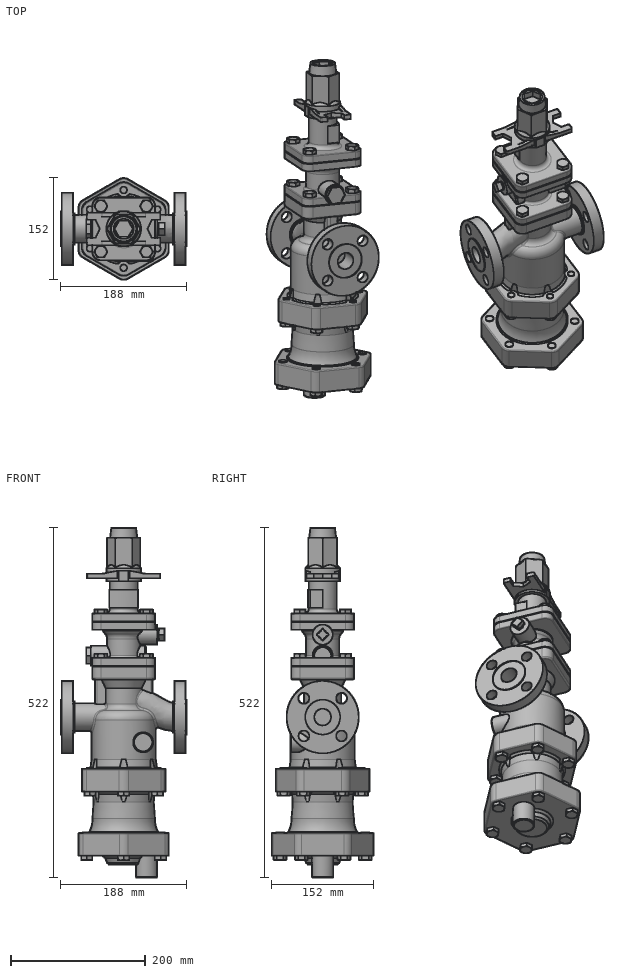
import cadquery as cq
import math


face_to_face = 188.0
pipe_flange_dia = 108.0
pipe_flange_thickness = 17.0
raised_face_dia = 52.0
raised_face_height = 1.5
bore_dia = 25.0
bore_depth = 35.0
pipe_bend_x = 52.0
pipe_bend_z = 7.5
pipe_end_x = 8.0
pipe_end_z = 25.0
pipe_end_slope = 0.1
pipe_root_fillet = 3.0
pipe_dia = 42.0
hub_dia = 47.0
hub_length = 2.5
bolt_circle_dia = 79.4
bolt_hole_dia = 16.0
bolt_hole_count = 4

body_radius = 48.0
body_foot_radius = 53.0
body_foot_height = 2.0
body_flare_radius = 49.7
neck_radius = 28.0
neck_bottom_z = 20.0
neck_top_z = 43.0
neck_flare_radius = 34.0
shoulder_z = -4.0
shoulder_radius = 14.5
flare_start_z = -62.5

upper_hex_flats = 125.0
upper_hex_corner = 14.0
upper_hex_top_z = -76.6
upper_hex_bottom_z = -111.2
upper_hex_bolt_radius = 58.0
upper_stud_dia = 10.0
lower_hex_flats = 135.0
lower_hex_corner = 12.5
lower_hex_top_z = -172.6
lower_hex_bottom_z = -207.0
lower_hex_bolt_radius = 63.5
lower_stud_dia = 12.0
hex_edge_fillet = 1.5
hex_bolt_count = 6
stud_height = 1.0
body_spotface_radius = 10.4
trap_spotface_radius = 13.1

trap_top_radius = 49.5
trap_collar_radius = 46.2
trap_collar_height = 3.5
trap_radius = 45.0
trap_waist_z = -126.0
trap_flare_z = -151.0
trap_flare_radius = 46.8
trap_foot_radius = 53.5
trap_foot_height = 1.5
trap_flare_end_radius = 51.3
trap_foot_blend = 40.0

bottom_z = -239.8
cover_top_radius = 31.5
cover_step_radius = 27.5
cover_step_height = 3.5
cover_edge = 3.0
cover_bottom_radius = 22.0
cover_bottom_z = -220.0
drain_dia = 32.0
drain_x = 34.0
drain_chamfer = 1.5

square_side = 94.0
square_corner = 13.0
square_bolt_offset = 34.0
square_edge_fillet = 2.5
square_cover_fillet = 1.0
gasket_thickness = 1.2
gasket_recess = 0.4
pilot_top_z = 88.5
pilot_gasket_z = 76.0
pilot_bottom_z = 56.0
spring_top_z = 154.6
spring_gasket_z = 142.0
spring_bottom_z = 130.0
bolt_flats = 17.0
bolt_face_dia = 17.48
bolt_head_height = 6.2

pilot_radius = 25.0
pilot_flare_radius = 62.07 / 2
pilot_flare_z = 117.0
pilot_flare_rim = 1.5
pilot_blend_radius = 10.0
pilot_blend_width = 3.0
pilot_blend_height = 7.5
pilot_foot_fillet = 4.0
boss_dia = 30.0
left_boss_z = 91.7
left_boss_end_x = 49.0
left_plug_flats = 24.5
left_plug_length = 7.0
stub_x = 31.5
stub_length = 2.0
stub_tip_dia = 25.0
right_boss_z = 123.0
right_boss_end_x = 50.0
right_plug_shank_dia = 12.0
right_plug_shank_length = 2.3
right_plug_side = 13.0
right_plug_length = 8.6

rib_reach = 43.0
rib_width = 16.0
rib_corner = 3.0
left_rib_bottom_z = 5.0
right_rib_bottom_z = 20.0

front_boss_x = 29.0
front_boss_z = -37.5
front_boss_end_y = 48.5
front_boss_chamfer = 1.5

stem_dia = 42.0
stem_foot_fillet = 7.0
plate_half_width = 21.7
plate_edge_y = 18.3
plate_front_y = 22.0
plate_bottom_z = 163.0
plate_top_z = 190.0
collar_dia = 52.0
collar_bottom_z = 202.5
collar_top_z = 222.0
cap_flats = 43.3
cap_cone_z = 227.0
cap_hex_top_z = 267.5
cap_hex_chamfer = 1.0
cap_neck_radius = 20.4
cap_top_radius = 18.6
overall_height = 522.0
top_z = bottom_z + overall_height
socket_flats = 24.0
socket_depth = 12.0
socket_mouth_dia = 30.0
socket_mouth_depth = 1.5

handle_half_length = 54.9
handle_half_width = 24.3
handle_corner = 1.5
handle_bottom_z = 207.0
handle_top_z = 214.0
slot_half_width = 13.5
slot_shoulder_x = 42.0
slot_apex_x = 35.5
handle_rib_half_length = 32.5
handle_rib_width = 6.0
handle_rib_top_z = 218.5
handle_lug_half_width = 7.0


def cylinder_z(radius, bottom, top, x=0.0, y=0.0):
    """Vertical cylinder between two heights."""
    return cq.Workplane("XY", origin=(x, y, bottom)).circle(radius).extrude(top - bottom)


def cylinder_x(diameter, start, end, z):
    """Cylinder along X between two X positions."""
    return cq.Workplane("YZ", origin=(start, 0, z)).circle(diameter / 2).extrude(end - start)


def hexagon(flats):
    """Points of a hexagon with two corners on the first axis."""
    corner = flats / math.sqrt(3)
    return [
        (corner * math.cos(math.radians(60 * i)), corner * math.sin(math.radians(60 * i)))
        for i in range(6)
    ]


def bolt_head(x, y, seat_z, direction, turn=0):
    """Hexagon head with bevelled corners; direction is +1 upwards, -1 downwards."""
    corner_radius = bolt_flats / math.sqrt(3)
    height = direction * bolt_head_height
    seat = cq.Workplane("XY", origin=(x, y, seat_z))
    head = seat.transformed(rotate=(0, 0, turn)).polyline(hexagon(bolt_flats)).close().extrude(height)
    outer = ">Z" if direction > 0 else "<Z"
    bevel = cq.Workplane("XY", origin=(x, y, seat_z)).circle(corner_radius).extrude(height)
    bevel = bevel.faces(outer).chamfer(corner_radius - bolt_face_dia / 2)
    return head.intersect(bevel)


def main_body():
    """Round body with a domed shoulder, a narrow neck and flared ends."""
    rise = neck_bottom_z - shoulder_z
    dome_x = body_radius - shoulder_radius
    ledge = dome_x - neck_radius
    blend_radius = (ledge**2 + rise**2 - shoulder_radius**2) / (2 * (shoulder_radius + ledge))
    centre_distance = shoulder_radius + blend_radius
    blend_start_x = dome_x + shoulder_radius * (blend_radius - ledge) / centre_distance
    blend_start_z = shoulder_z + shoulder_radius * rise / centre_distance
    dome = shoulder_radius * math.sqrt(0.5)
    profile = (
        cq.Workplane("XZ")
        .moveTo(0, upper_hex_top_z)
        .lineTo(body_foot_radius, upper_hex_top_z)
        .lineTo(body_flare_radius, upper_hex_top_z + body_foot_height)
        .lineTo(body_radius, flare_start_z)
        .lineTo(body_radius, shoulder_z)
        .threePointArc((dome_x + dome, shoulder_z + dome), (blend_start_x, blend_start_z))
        .radiusArc((neck_radius, neck_bottom_z), blend_radius)
        .lineTo(neck_radius, neck_top_z)
        .lineTo(neck_flare_radius, pilot_bottom_z)
        .lineTo(0, pilot_bottom_z)
        .close()
    )
    return profile.revolve(360, (0, 0, 0), (0, 1, 0))


def trap_section():
    """Waisted round section between the two six-sided joints."""
    flare_end = (trap_flare_end_radius, lower_hex_top_z + trap_foot_height)
    profile = (
        cq.Workplane("XZ")
        .moveTo(0, upper_hex_bottom_z)
        .lineTo(trap_top_radius, upper_hex_bottom_z)
        .lineTo(trap_collar_radius, upper_hex_bottom_z - trap_collar_height)
        .lineTo(trap_radius, trap_waist_z)
        .lineTo(trap_flare_radius, trap_flare_z)
        .radiusArc(flare_end, -trap_foot_blend)
        .lineTo(trap_foot_radius, lower_hex_top_z)
        .lineTo(0, lower_hex_top_z)
        .close()
    )
    return profile.revolve(360, (0, 0, 0), (0, 1, 0))


def bolt_positions(radius):
    """Six places on a circle, two of them on the Y axis."""
    step = 2 * math.pi / hex_bolt_count
    angles = [math.pi / 2 + i * step for i in range(hex_bolt_count)]
    return [(radius * math.cos(a), radius * math.sin(a)) for a in angles]


def hex_joint(flats, corner, bottom, top, bolt_radius, stud_dia):
    """Six-sided bolted joint with corners on the Y axis, heads below and stud ends above."""
    joint = (
        cq.Workplane("XY", origin=(0, 0, bottom))
        .transformed(rotate=(0, 0, 90))
        .polyline(hexagon(flats))
        .close()
        .extrude(top - bottom)
        .edges("|Z")
        .fillet(corner)
        .faces("<Z or >Z")
        .edges()
        .fillet(hex_edge_fillet)
    )
    for x, y in bolt_positions(bolt_radius):
        joint = joint.union(bolt_head(x, y, bottom, -1, 90))
        joint = joint.union(cylinder_z(stud_dia / 2, top, top + stud_height, x, y))
    return joint


def spotfaces(radius, bottom, top):
    """Clearance for the stud ends and bolt heads of the upper six-sided joint."""
    cuts = cq.Workplane("XY")
    for x, y in bolt_positions(upper_hex_bolt_radius):
        cuts = cuts.add(cylinder_z(radius, bottom, top, x, y))
    return cuts.combine()


def bottom_cover():
    """Tapered bulge under the lower joint with an off-centre drain pipe."""
    bulge = (
        cq.Workplane("XZ")
        .moveTo(0, lower_hex_bottom_z)
        .lineTo(cover_top_radius, lower_hex_bottom_z)
        .lineTo(cover_step_radius, lower_hex_bottom_z - cover_step_height)
        .lineTo(cover_bottom_radius + cover_edge, cover_bottom_z + cover_edge)
        .lineTo(cover_bottom_radius, cover_bottom_z)
        .lineTo(0, cover_bottom_z)
        .close()
        .revolve(360, (0, 0, 0), (0, 1, 0))
    )
    drain = cylinder_z(drain_dia / 2, bottom_z, lower_hex_bottom_z, drain_x)
    return bulge.union(drain.faces("<Z").chamfer(drain_chamfer))


def square_plate(bottom, top, recess=0.0):
    """Square plate with rounded corners."""
    side = square_side - 2 * recess
    plate = cq.Workplane("XY", origin=(0, 0, bottom)).rect(side, side).extrude(top - bottom)
    return plate.edges("|Z").fillet(square_corner - recess)


def square_joint(bottom, gasket, top, bottom_fillet, top_fillet):
    """Two square plates on a slightly recessed gasket, with four bolt heads on top."""
    half_gasket = gasket_thickness / 2
    lower = square_plate(bottom, gasket - half_gasket).faces("<Z").edges().fillet(bottom_fillet)
    upper = square_plate(gasket + half_gasket, top).faces(">Z").edges().fillet(top_fillet)
    joint = lower.union(square_plate(gasket - half_gasket, gasket + half_gasket, gasket_recess))
    joint = joint.union(upper)
    for x in (-square_bolt_offset, square_bolt_offset):
        for y in (-square_bolt_offset, square_bolt_offset):
            joint = joint.union(bolt_head(x, y, top, 1))
    return joint


def pilot_section():
    """Round section between the square joints, flared at the top."""
    blend_end = (pilot_radius + pilot_blend_width, pilot_flare_z + pilot_blend_height)
    flare_top = spring_bottom_z - pilot_flare_rim
    foot_z = pilot_top_z + pilot_foot_fillet
    profile = (
        cq.Workplane("XZ")
        .moveTo(0, pilot_top_z)
        .lineTo(pilot_radius + pilot_foot_fillet, pilot_top_z)
        .radiusArc((pilot_radius, foot_z), pilot_foot_fillet)
        .lineTo(pilot_radius, pilot_flare_z)
        .radiusArc(blend_end, pilot_blend_radius)
        .lineTo(pilot_flare_radius, flare_top)
        .lineTo(pilot_flare_radius, spring_bottom_z)
        .lineTo(0, spring_bottom_z)
        .close()
    )
    return profile.revolve(360, (0, 0, 0), (0, 1, 0))


def pilot_bosses():
    """Plugged bosses on both sides of the pilot section."""
    bosses = cylinder_x(boss_dia, -left_boss_end_x, stub_x, left_boss_z)
    stub = (
        cq.Workplane("YZ", origin=(stub_x, 0, left_boss_z))
        .circle(boss_dia / 2)
        .workplane(offset=stub_length)
        .circle(stub_tip_dia / 2)
        .loft()
    )
    left_plug = (
        cq.Workplane("YZ", origin=(-left_boss_end_x, 0, left_boss_z))
        .polyline(hexagon(left_plug_flats))
        .close()
        .extrude(-left_plug_length)
    )
    right_boss = cylinder_x(boss_dia, 0, right_boss_end_x, right_boss_z)
    shank_end = right_boss_end_x + right_plug_shank_length
    shank = cylinder_x(right_plug_shank_dia, right_boss_end_x, shank_end, right_boss_z)
    right_plug = (
        cq.Workplane("YZ", origin=(shank_end, 0, right_boss_z))
        .transformed(rotate=(0, 0, 45))
        .rect(right_plug_side, right_plug_side)
        .extrude(right_plug_length)
    )
    return bosses.union(stub).union(left_plug).union(right_boss).union(shank).union(right_plug)


def pipe_flange(side):
    """Bolted pipe flange; side is -1 for the -X end, +1 for the +X end."""
    face = side * face_to_face / 2
    back = face - side * (raised_face_height + pipe_flange_thickness)
    flange = cylinder_x(pipe_flange_dia, back, face - side * raised_face_height, 0)
    holes = (
        cq.Workplane("YZ", origin=(back, 0, 0))
        .polarArray(bolt_circle_dia / 2, 45, 360, bolt_hole_count)
        .circle(bolt_hole_dia / 2)
        .extrude(side * pipe_flange_thickness)
    )
    hub = cylinder_x(hub_dia, back - side * hub_length, back, 0)
    raised = cylinder_x(raised_face_dia, back, face, 0)
    return flange.cut(holes).union(hub).union(raised)


def left_pipe():
    """Straight pipe from the body to the -X flange."""
    return cylinder_x(pipe_dia, -face_to_face / 2 + pipe_flange_thickness, 0, 0)


def right_pipe():
    """Curved pipe rising from the +X flange to the neck."""
    start_x = face_to_face / 2 - pipe_flange_thickness
    path = cq.Workplane("XZ").spline(
        [(start_x, 0), (pipe_bend_x, pipe_bend_z), (pipe_end_x, pipe_end_z)],
        tangents=[(-1, 0), (-1, pipe_end_slope)],
    )
    return cq.Workplane("YZ", origin=(start_x, 0, 0)).circle(pipe_dia / 2).sweep(path)


def bores():
    """Blind bores in the two pipe flanges."""
    end = face_to_face / 2
    left = cylinder_x(bore_dia, -end, bore_depth - end, 0)
    return left.union(cylinder_x(bore_dia, end - bore_depth, end, 0))


def body_with_pipes():
    """Main body with the two pipes, filleted where the pipes leave the body."""
    joined = main_body().union(left_pipe()).union(right_pipe())
    reach = body_radius - 1
    roots = joined.edges("%BSPLINE").filter(lambda edge: abs(edge.Center().x) < reach)
    return joined.newObject(roots.vals()).fillet(pipe_root_fillet)


def neck_rib(side, bottom):
    """Upright rib from the body to the lower square joint."""
    rib = (
        cq.Workplane("XY", origin=(side * rib_reach / 2, 0, bottom))
        .rect(rib_reach, rib_width)
        .extrude(pilot_bottom_z - bottom)
    )
    outer = ">X" if side > 0 else "<X"
    return rib.faces(outer).edges("|Z").fillet(rib_corner)


def front_boss():
    """Round boss on the -Y side of the body."""
    boss = (
        cq.Workplane("XZ", origin=(front_boss_x, 0, front_boss_z))
        .circle(boss_dia / 2)
        .extrude(front_boss_end_y)
    )
    return boss.faces("<Y").chamfer(front_boss_chamfer)


def stem():
    """Adjustment stem with a filleted foot and a bowed nameplate on the -Y side."""
    radius = stem_dia / 2
    post = (
        cq.Workplane("XZ")
        .moveTo(0, spring_top_z)
        .lineTo(radius + stem_foot_fillet, spring_top_z)
        .radiusArc((radius, spring_top_z + stem_foot_fillet), stem_foot_fillet)
        .lineTo(radius, collar_bottom_z)
        .lineTo(0, collar_bottom_z)
        .close()
        .revolve(360, (0, 0, 0), (0, 1, 0))
    )
    nameplate = (
        cq.Workplane("XY", origin=(0, 0, plate_bottom_z))
        .moveTo(-plate_half_width, 0)
        .lineTo(-plate_half_width, -plate_edge_y)
        .threePointArc((0, -plate_front_y), (plate_half_width, -plate_edge_y))
        .lineTo(plate_half_width, 0)
        .close()
        .extrude(plate_top_z - plate_bottom_z)
    )
    return post.union(nameplate)


def cap():
    """Collar and hexagonal cap with a tapered neck and a hexagon socket."""
    hex_radius = cap_flats / math.sqrt(3)
    collar = (
        cq.Workplane("XZ")
        .moveTo(0, collar_bottom_z)
        .lineTo(collar_dia / 2, collar_bottom_z)
        .lineTo(collar_dia / 2, collar_top_z)
        .lineTo(cap_flats / 2, cap_cone_z)
        .lineTo(0, cap_cone_z)
        .close()
        .revolve(360, (0, 0, 0), (0, 1, 0))
    )
    hex_part = (
        cq.Workplane("XY", origin=(0, 0, collar_top_z))
        .polyline(hexagon(cap_flats))
        .close()
        .extrude(cap_hex_top_z - collar_top_z)
    )
    corner_round = cylinder_z(hex_radius, collar_top_z, cap_hex_top_z)
    corner_round = corner_round.faces(">Z").chamfer(cap_hex_chamfer)
    neck = (
        cq.Workplane("XZ")
        .moveTo(0, cap_hex_top_z)
        .lineTo(cap_neck_radius, cap_hex_top_z)
        .lineTo(cap_top_radius, top_z)
        .lineTo(0, top_z)
        .close()
        .revolve(360, (0, 0, 0), (0, 1, 0))
    )
    socket = (
        cq.Workplane("XY", origin=(0, 0, top_z))
        .polyline(hexagon(socket_flats))
        .close()
        .extrude(-socket_depth)
    )
    mouth = (
        cq.Workplane("XY", origin=(0, 0, top_z))
        .circle(socket_mouth_dia / 2)
        .workplane(offset=-socket_mouth_depth)
        .circle(socket_flats / 2)
        .loft()
    )
    return collar.union(hex_part.intersect(corner_round)).union(neck).cut(socket).cut(mouth)


def handle():
    """Two-ended forked handle with sloping ribs along its edges."""
    plate = (
        cq.Workplane("XY", origin=(0, 0, handle_bottom_z))
        .rect(2 * handle_half_length, 2 * handle_half_width)
        .extrude(handle_top_z - handle_bottom_z)
        .edges("|Z")
        .fillet(handle_corner)
    )
    for side in (-1, 1):
        slot = (
            cq.Workplane("XY", origin=(0, 0, handle_bottom_z))
            .moveTo(side * handle_half_length, slot_half_width)
            .lineTo(side * slot_shoulder_x, slot_half_width)
            .lineTo(side * slot_apex_x, 0)
            .lineTo(side * slot_shoulder_x, -slot_half_width)
            .lineTo(side * handle_half_length, -slot_half_width)
            .close()
            .extrude(handle_top_z - handle_bottom_z)
        )
        plate = plate.cut(slot)
    for inner_y in (-handle_half_width + handle_rib_width, handle_half_width):
        rib = (
            cq.Workplane("XZ", origin=(0, inner_y, 0))
            .moveTo(-handle_rib_half_length, handle_top_z)
            .lineTo(-handle_lug_half_width, handle_rib_top_z)
            .lineTo(handle_lug_half_width, handle_rib_top_z)
            .lineTo(handle_rib_half_length, handle_top_z)
            .close()
            .extrude(handle_rib_width)
        )
        plate = plate.union(rib)
    lug = cq.Workplane("XY", origin=(0, 0, collar_bottom_z)).rect(
        2 * handle_lug_half_width, collar_dia
    )
    return plate.union(lug.extrude(handle_rib_top_z - collar_bottom_z))


valve = body_with_pipes().union(trap_section())
valve = valve.cut(spotfaces(body_spotface_radius, upper_hex_top_z, flare_start_z))
valve = valve.cut(spotfaces(trap_spotface_radius, trap_waist_z, upper_hex_bottom_z))
valve = valve.union(
    hex_joint(
        upper_hex_flats,
        upper_hex_corner,
        upper_hex_bottom_z,
        upper_hex_top_z,
        upper_hex_bolt_radius,
        upper_stud_dia,
    )
)
valve = valve.union(
    hex_joint(
        lower_hex_flats,
        lower_hex_corner,
        lower_hex_bottom_z,
        lower_hex_top_z,
        lower_hex_bolt_radius,
        lower_stud_dia,
    )
)
valve = valve.union(bottom_cover())
valve = valve.union(pipe_flange(-1)).union(pipe_flange(1)).cut(bores())
valve = valve.union(neck_rib(-1, left_rib_bottom_z)).union(neck_rib(1, right_rib_bottom_z))
valve = valve.union(front_boss())
valve = valve.union(
    square_joint(
        pilot_bottom_z, pilot_gasket_z, pilot_top_z, square_edge_fillet, square_cover_fillet
    )
)
valve = valve.union(pilot_section()).union(pilot_bosses())
valve = valve.union(
    square_joint(
        spring_bottom_z, spring_gasket_z, spring_top_z, square_cover_fillet, square_cover_fillet
    )
)
valve = valve.union(stem()).union(cap()).union(handle())

result = valve